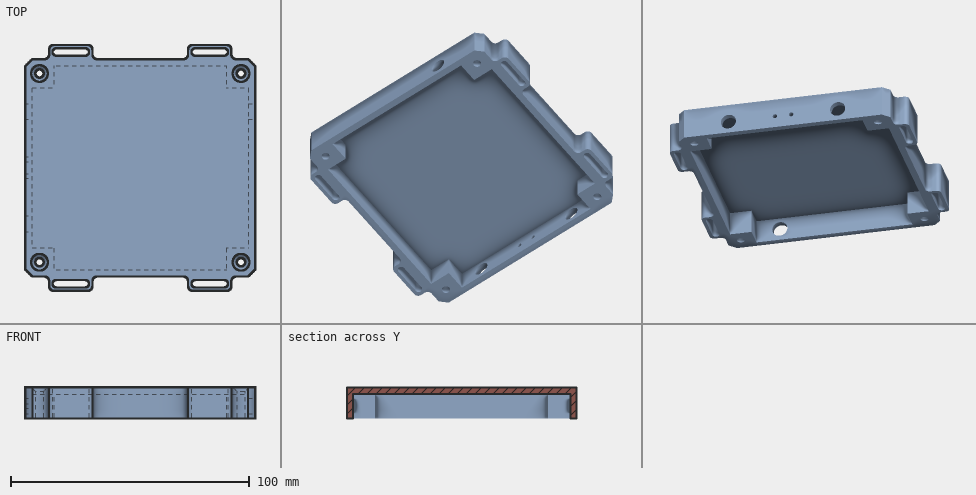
import cadquery as cq

body_x = 96.35
overall_y = 103.0
height = 13.2
ear_reach = 6.0
body_y = overall_y - 2 * ear_reach
corner_chamfer = 3.0

wall = 2.8
roof = 3.0
cavity_x = body_x - 2 * wall
cavity_y = body_y - 2 * wall
cavity_height = height - roof

ear_width = 18.2
ear_inset = 10.0
ear_offset_x = body_x / 2 - ear_inset - ear_width / 2
ear_round = 2.0
slot_width = 3.0
slot_margin = 1.5
slot_length = ear_width - 2 * slot_margin
slot_y = overall_y / 2 - slot_margin - slot_width / 2

screw_inset = 6.0
screw_x = body_x / 2 - screw_inset
screw_y = body_y / 2 - screw_inset
screw_hole_diameter = 3.4
screw_head_diameter = 7.0
screw_head_angle = 90.0
post_side = 2 * screw_inset

port_diameter = 6.5
port_offset_y = 23.5
pin_diameter = 1.9
pin_offset_y = 3.5
opening_z = 5.2


def make_outline():
    """Chamfered plate with four ears, blended where each ear meets the plate."""
    plate = cq.Workplane("XY").box(body_x, body_y, height, centered=(True, True, False))
    plate = plate.edges("|Z").chamfer(corner_chamfer)
    for side in (-1, 1):
        ear = (
            cq.Workplane("XY")
            .center(side * ear_offset_x, 0)
            .box(ear_width, overall_y, height, centered=(True, True, False))
        )
        ear = ear.edges("|Z").fillet(ear_round)
        plate = plate.union(ear)
    for side_x in (-1, 1):
        for side_y in (-1, 1):
            for ear_edge in (-1, 1):
                root_x = side_x * ear_offset_x + ear_edge * ear_width / 2
                root = (root_x, side_y * body_y / 2, height / 2)
                plate = plate.edges(cq.selectors.NearestToPointSelector(root)).fillet(ear_round)
    return plate


def make_cavity():
    """Hollow below the roof, leaving a square post around every corner screw."""
    cavity = cq.Workplane("XY").box(cavity_x, cavity_y, cavity_height, centered=(True, True, False))
    posts = (
        cq.Workplane("XY")
        .rect(2 * screw_x, 2 * screw_y, forConstruction=True)
        .vertices()
        .rect(post_side, post_side)
        .extrude(cavity_height)
    )
    return cavity.cut(posts)


def cut_strap_slots(part):
    slots = (
        cq.Workplane("XY")
        .rect(2 * ear_offset_x, 2 * slot_y, forConstruction=True)
        .vertices()
        .slot2D(slot_length, slot_width)
        .extrude(height)
    )
    return part.cut(slots)


def cut_screw_holes(part):
    return (
        part.faces(">Z")
        .workplane(origin=(0, 0, height))
        .rect(2 * screw_x, 2 * screw_y, forConstruction=True)
        .vertices()
        .cskHole(screw_hole_diameter, screw_head_diameter, screw_head_angle)
    )


def wall_opening(diameter, y, side):
    """Cylinder crossing one side wall; side is -1 for the -X wall and 1 for the +X wall."""
    wall_middle_x = side * (body_x - wall) / 2
    return (
        cq.Workplane("YZ", origin=(wall_middle_x, 0, 0))
        .center(y, opening_z)
        .circle(diameter / 2)
        .extrude(wall, both=True)
    )


def cut_wall_openings(part):
    for sign in (-1, 1):
        part = part.cut(wall_opening(port_diameter, sign * port_offset_y, -1))
        part = part.cut(wall_opening(pin_diameter, sign * pin_offset_y, -1))
    return part.cut(wall_opening(port_diameter, port_offset_y, 1))


cover = make_outline().cut(make_cavity())
cover = cut_strap_slots(cover)
cover = cut_screw_holes(cover)
result = cut_wall_openings(cover)